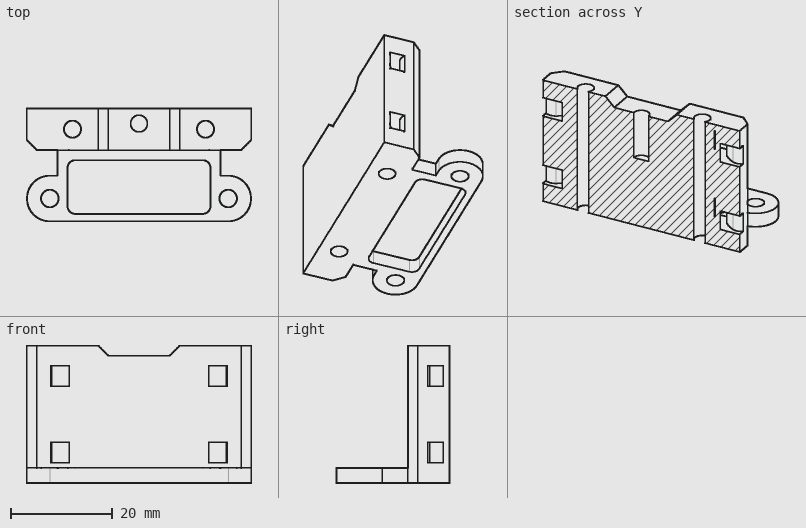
import math

import cadquery as cq

block_width = 44.1
block_depth = 8.2
block_height = 27.0
corner_chamfer = 2.0

notch_depth = 2.0
notch_floor_width = 12.0
notch_top_width = notch_floor_width + 2 * notch_depth

through_hole_diameter = 3.3
through_hole_side_inset = 9.0
through_hole_y = block_depth / 2
blind_hole_diameter = 3.3
blind_hole_y = block_depth - 3.0
blind_hole_depth = 10.0

channel_height = 4.0
channel_end_inset = 4.0
channel_levels = (channel_end_inset, block_height - channel_end_inset - channel_height)
channel_center = (-1.9, -3.75)
channel_outer_radius = 10.9
channel_inner_radius = 8.85
mouth_radius = 2.1
front_mouth_angle = 45.0
side_mouth_angle = 62.0
front_mouth_end_angle = -60.0
side_mouth_end_angle = 160.0

frame_thickness = 3.0
frame_reach = 14.0
neck_width = 32.0
ear_radius = 4.5
ear_x = 17.5
ear_y = ear_radius - frame_reach
ear_hole_diameter = 3.4
window_width = 28.0
window_back_wall = 2.0
window_front_wall = 1.5
window_length = frame_reach - window_back_wall - window_front_wall
window_corner_radius = 1.5


def polar(center, radius, angle):
    """Point at a distance and an angle in degrees from a centre."""
    turn = math.radians(angle)
    return (center[0] + radius * math.cos(turn), center[1] + radius * math.sin(turn))


def make_block():
    block = (
        cq.Workplane("XY")
        .box(block_width, block_depth, block_height, centered=(True, False, False))
        .faces("<Y")
        .edges("|Z")
        .chamfer(corner_chamfer)
    )
    notch_floor = block_height - notch_depth
    notch = (
        cq.Workplane("XZ")
        .moveTo(-notch_floor_width / 2, notch_floor)
        .lineTo(notch_floor_width / 2, notch_floor)
        .lineTo(notch_top_width / 2, block_height)
        .lineTo(-notch_top_width / 2, block_height)
        .close()
        .extrude(-block_depth)
    )
    return block.cut(notch)


def make_block_holes():
    hole_x = block_width / 2 - through_hole_side_inset
    through_holes = (
        cq.Workplane("XY")
        .pushPoints([(-hole_x, through_hole_y), (hole_x, through_hole_y)])
        .circle(through_hole_diameter / 2)
        .extrude(block_height)
    )
    blind_hole = (
        cq.Workplane("XY", origin=(0, blind_hole_y, block_height - notch_depth))
        .circle(blind_hole_diameter / 2)
        .extrude(-blind_hole_depth)
    )
    return through_holes.union(blind_hole)


def make_channel():
    """Channel at the left front corner, with that corner at the origin."""
    mouth_offset = channel_inner_radius - mouth_radius
    front_mouth = polar(channel_center, mouth_offset, front_mouth_angle)
    side_mouth = polar(channel_center, mouth_offset, side_mouth_angle)
    front_middle_angle = (front_mouth_end_angle + front_mouth_angle) / 2
    inner_middle_angle = (front_mouth_angle + side_mouth_angle) / 2
    side_middle_angle = (side_mouth_angle + side_mouth_end_angle) / 2

    core = (
        cq.Workplane("XY")
        .moveTo(*channel_center)
        .lineTo(*polar(front_mouth, mouth_radius, front_mouth_end_angle))
        .threePointArc(
            polar(front_mouth, mouth_radius, front_middle_angle),
            polar(front_mouth, mouth_radius, front_mouth_angle),
        )
        .threePointArc(
            polar(channel_center, channel_inner_radius, inner_middle_angle),
            polar(channel_center, channel_inner_radius, side_mouth_angle),
        )
        .threePointArc(
            polar(side_mouth, mouth_radius, side_middle_angle),
            polar(side_mouth, mouth_radius, side_mouth_end_angle),
        )
        .close()
        .extrude(channel_height)
    )
    disc = (
        cq.Workplane("XY")
        .center(*channel_center)
        .circle(channel_outer_radius)
        .extrude(channel_height)
    )
    return disc.cut(core)


def cut_channels(block):
    channel = make_channel()
    for level in channel_levels:
        left_channel = channel.translate((-block_width / 2, 0, level))
        block = block.cut(left_channel).cut(left_channel.mirror("YZ"))
    return block


def make_frame():
    ear_points = [(-ear_x, ear_y), (ear_x, ear_y)]
    neck = (
        cq.Workplane("XY", origin=(0, -frame_reach, 0))
        .box(neck_width, frame_reach, frame_thickness, centered=(True, False, False))
    )
    bar = (
        cq.Workplane("XY", origin=(0, ear_y, 0))
        .slot2D(2 * (ear_x + ear_radius), 2 * ear_radius)
        .extrude(frame_thickness)
    )
    ear_holes = (
        cq.Workplane("XY")
        .pushPoints(ear_points)
        .circle(ear_hole_diameter / 2)
        .extrude(frame_thickness)
    )
    window = (
        cq.Workplane("XY", origin=(0, window_front_wall - frame_reach, 0))
        .box(window_width, window_length, frame_thickness, centered=(True, False, False))
        .edges("|Z")
        .fillet(window_corner_radius)
    )
    return neck.union(bar).cut(ear_holes).cut(window)


pierced_block = cut_channels(make_block().cut(make_block_holes()))
result = pierced_block.union(make_frame())